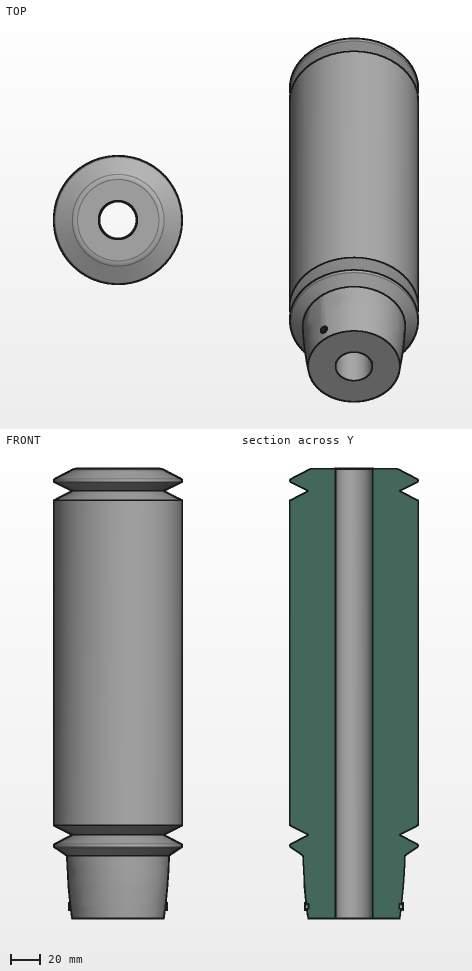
import cadquery as cq
import math

height = 304.2
outer_radius = 87.0 / 2
groove_radius = 31.0
bore_radius = 25.0 / 2
bore_chamfer = 0.5

spigot_top_z = 42.5
lower_rim_z = 49.3
lower_groove_z = 56.5
barrel_bottom_z = 63.0
barrel_top_z = 282.5
upper_groove_z = 289.0
upper_rim_z = 296.0

rim_half_height = 1.2
rim_depth = 0.8

top_face_radius = 55.0 / 2
shoulder_radius = 31.0
cone_angle = math.atan2(height - upper_rim_z - rim_half_height, outer_radius - shoulder_radius)
shoulder_run = shoulder_radius - top_face_radius
shoulder_drop = shoulder_run * math.tan(cone_angle / 2)
shoulder_mid_run = shoulder_run * math.sin(cone_angle / 2) / math.sin(cone_angle)
shoulder_mid_drop = shoulder_mid_run * math.tan(cone_angle / 4)

spigot_top_radius = 34.7
spigot_mid_radius = 33.5
spigot_mid_z = 21.3
spigot_bottom_radius = 31.0

pin_diameter = 5.0
pin_z = 8.2
pin_reach = 33.2
pin_length = 6.0
pin_hole_diameter = 3.0
pin_hole_depth = 2.5


def add_rim(profile, z):
    """Run up to a disc edge and round it over."""
    edge_radius = outer_radius - rim_depth
    return profile.lineTo(edge_radius, z - rim_half_height).threePointArc(
        (outer_radius, z), (edge_radius, z + rim_half_height)
    )


def turned_body():
    """Revolve the half outline, chamfered bore included, around Z."""
    profile = (
        cq.Workplane("XZ")
        .moveTo(bore_radius, 0)
        .lineTo(spigot_bottom_radius, 0)
        .threePointArc((spigot_mid_radius, spigot_mid_z), (spigot_top_radius, spigot_top_z))
    )
    profile = add_rim(profile, lower_rim_z)
    profile = (
        profile.lineTo(groove_radius, lower_groove_z)
        .lineTo(outer_radius, barrel_bottom_z)
        .lineTo(outer_radius, barrel_top_z)
        .lineTo(groove_radius, upper_groove_z)
    )
    profile = add_rim(profile, upper_rim_z)
    profile = (
        profile.lineTo(shoulder_radius, height - shoulder_drop)
        .threePointArc(
            (top_face_radius + shoulder_mid_run, height - shoulder_mid_drop),
            (top_face_radius, height),
        )
        .lineTo(bore_radius + bore_chamfer, height)
        .lineTo(bore_radius, height - bore_chamfer)
        .close()
    )
    return profile.revolve(360, (0, 0, 0), (0, 1, 0))


def radial_cylinder(side, diameter, length):
    """Cylinder running inward from the pin end; side is -1 or +1 along X."""
    return (
        cq.Workplane("YZ", origin=(side * pin_reach, 0, pin_z))
        .circle(diameter / 2)
        .extrude(-side * length)
    )


result = turned_body()
for side in (-1, 1):
    result = result.union(radial_cylinder(side, pin_diameter, pin_length))
    result = result.cut(radial_cylinder(side, pin_hole_diameter, pin_hole_depth))